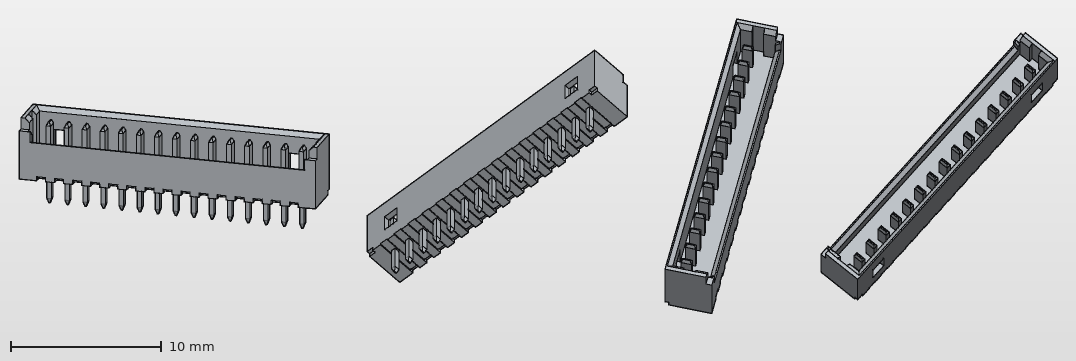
import cadquery as cq
PIN_COUNT = 15
PITCH = 1.25
END_MARGIN = 1.5
LENGTH = (PIN_COUNT - 1) * PITCH + 2 * END_MARGIN
DEPTH = 3.2
HEIGHT = 4.2
FRONT_Y = -DEPTH / 2
BACK_Y = DEPTH / 2

FLOOR_Z = 1.3
END_WALL = 0.575
FRONT_WALL = 0.4
BACK_WALL = 0.4
LEAD_IN = 0.3
CAVITY_LENGTH = LENGTH - 2 * END_WALL
CAVITY_FRONT_Y = FRONT_Y + FRONT_WALL
CAVITY_BACK_Y = BACK_Y - BACK_WALL
CAVITY_DEPTH = CAVITY_BACK_Y - CAVITY_FRONT_Y
CAVITY_MID_Y = (CAVITY_FRONT_Y + CAVITY_BACK_Y) / 2

KEYWAY_WIDTH = 0.8
KEYWAY_Y = 0.025

SHOULDER_Z = HEIGHT - 0.8
OPENING_Z = HEIGHT - 1.55
OPENING_MARGIN = 0.75
OPENING_LENGTH = LENGTH - 2 * OPENING_MARGIN

WINDOW_WIDTH = 1.1
WINDOW_TOP_Z = 2.7
WINDOW_X = (PIN_COUNT - 2) / 2 * PITCH

RELIEF_HEIGHT = 0.3
RELIEF_DEPTH = 0.25
CHANNEL_HEIGHT = 0.1
CHANNEL_WIDTH = 0.62
END_RELIEF_LENGTH = 0.5

PIN_WIDTH = 0.32
PIN_Y = 0.475
BLADE_DEPTH = 0.7
TAIL_DEPTH = 0.4
PIN_TOP_Z = 3.55
PIN_BOTTOM_Z = -2.2
BLADE_TIP_HEIGHT = 0.25
TAIL_TIP_HEIGHT = 0.35
TIP_WIDTH = 0.08
TIP_SETBACK = 0.1


def block(x_size, y_min, y_max, z_min, z_max, x_mid=0):
    """Box centred on x_mid and spanning the given Y and Z limits."""
    corner = (x_mid - x_size / 2, y_min, z_min)
    return cq.Workplane("XY").box(x_size, y_max - y_min, z_max - z_min, centered=False).translate(corner)


def front_wall_bevel(span, top_z):
    """Wedge that bevels the inner top edge of the front wall."""
    return (
        cq.Workplane("YZ")
        .moveTo(CAVITY_FRONT_Y, top_z)
        .lineTo(CAVITY_FRONT_Y - LEAD_IN, top_z)
        .lineTo(CAVITY_FRONT_Y, top_z - LEAD_IN)
        .close()
        .extrude(span / 2, both=True)
    )


def cut_cavity(body):
    """Hollow the housing, bevel its mouth and cut a keyway into each end wall."""
    cavity = block(CAVITY_LENGTH, CAVITY_FRONT_Y, CAVITY_BACK_Y, FLOOR_Z, HEIGHT)
    mouth = (
        cq.Workplane("XY", origin=(0, CAVITY_MID_Y, HEIGHT - LEAD_IN))
        .rect(CAVITY_LENGTH, CAVITY_DEPTH)
        .workplane(offset=LEAD_IN)
        .rect(CAVITY_LENGTH + 2 * LEAD_IN, CAVITY_DEPTH + 2 * LEAD_IN)
        .loft(ruled=True)
    )
    keyways = block(
        CAVITY_LENGTH + 2 * LEAD_IN,
        KEYWAY_Y - KEYWAY_WIDTH / 2,
        KEYWAY_Y + KEYWAY_WIDTH / 2,
        FLOOR_Z,
        HEIGHT,
    )
    return body.cut(cavity).cut(mouth).cut(keyways)


def cut_front_wall(body):
    """Lower the front wall to its shoulders and open it further between them."""
    shoulders = block(LENGTH, FRONT_Y, CAVITY_FRONT_Y, SHOULDER_Z, HEIGHT)
    opening = block(OPENING_LENGTH, FRONT_Y, CAVITY_FRONT_Y, OPENING_Z, HEIGHT)
    body = body.cut(shoulders).cut(opening)
    body = body.cut(front_wall_bevel(CAVITY_LENGTH, SHOULDER_Z))
    return body.cut(front_wall_bevel(OPENING_LENGTH, OPENING_Z))


def cut_back_windows(body):
    """Cut a window through the back wall near each end."""
    for side in (-1, 1):
        window = block(WINDOW_WIDTH, CAVITY_BACK_Y, BACK_Y, FLOOR_Z, WINDOW_TOP_Z, side * WINDOW_X)
        body = body.cut(window)
    return body


def cut_underside(body, pin_positions):
    """Cut a channel with a taller front pocket at each pin, and a notch at each back corner."""
    for x in pin_positions:
        channel = block(CHANNEL_WIDTH, FRONT_Y, BACK_Y, 0, CHANNEL_HEIGHT, x)
        pocket = block(CHANNEL_WIDTH, FRONT_Y, FRONT_Y + RELIEF_DEPTH, 0, RELIEF_HEIGHT, x)
        body = body.cut(channel).cut(pocket)
    for side in (-1, 1):
        notch_x = side * (LENGTH - END_RELIEF_LENGTH) / 2
        notch = block(END_RELIEF_LENGTH, BACK_Y - RELIEF_DEPTH, BACK_Y, 0, RELIEF_HEIGHT, notch_x)
        body = body.cut(notch)
    return body


def pin_half(y_size, start_z, end_z, tip_height):
    """Straight pin section from start_z that tapers to a small flat at end_z."""
    direction = 1 if end_z > start_z else -1
    neck_z = end_z - direction * tip_height
    shank = block(PIN_WIDTH, -y_size / 2, y_size / 2, min(start_z, neck_z), max(start_z, neck_z))
    tip = (
        cq.Workplane("XY", origin=(0, 0, neck_z))
        .rect(PIN_WIDTH, y_size)
        .workplane(offset=direction * tip_height)
        .rect(TIP_WIDTH, y_size - 2 * TIP_SETBACK)
        .loft(ruled=True)
    )
    return shank.union(tip)


def make_pin():
    """Wide contact blade above a narrower solder tail, joined inside the housing floor."""
    blade = pin_half(BLADE_DEPTH, RELIEF_HEIGHT, PIN_TOP_Z, BLADE_TIP_HEIGHT)
    tail = pin_half(TAIL_DEPTH, RELIEF_HEIGHT, PIN_BOTTOM_Z, TAIL_TIP_HEIGHT)
    return blade.union(tail)


pin_xs = [(i - (PIN_COUNT - 1) / 2) * PITCH for i in range(PIN_COUNT)]

housing = block(LENGTH, FRONT_Y, BACK_Y, 0, HEIGHT)
housing = cut_cavity(housing)
housing = cut_front_wall(housing)
housing = cut_back_windows(housing)
housing = cut_underside(housing, pin_xs)

pin = make_pin()
result = housing
for pin_x in pin_xs:
    result = result.union(pin.translate((pin_x, PIN_Y, 0)))